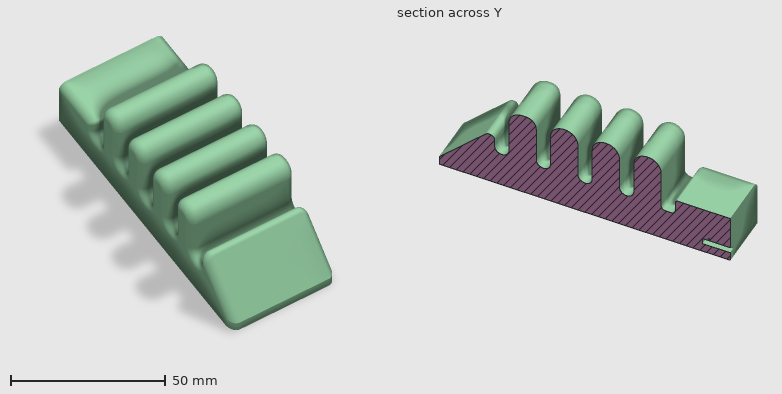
import cadquery as cq
import math

LENGTH = 105.0
WIDTH = 40.0
HEIGHT = 33.5

FIN_THICKNESS = 10.0
FIN_RADIUS = FIN_THICKNESS / 2
SLOT_WIDTH = 5.0
SLOT_RADIUS = SLOT_WIDTH / 2
FIN_PITCH = FIN_THICKNESS + SLOT_WIDTH
FIN_COUNT = 4
LAST_FIN_LEFT_RADIUS = 4.0

SLOT_DEPTH = 20.0
DEEP_SLOT_DEPTH = 20.5
DEEP_SLOT_FIN_INDEX = 1

SHELF_LENGTH = 20.0
SHELF_HEIGHT = 18.5
SHELF_EDGE_RADIUS = 1.0
FIRST_SLOT_DEPTH = 21.0
FIRST_SLOT_CORNER_RADIUS = 1.5

NOSE_HEIGHT = 3.5
RAMP_ANGLE = 45.0
CREST_RADIUS = 2.0

SIDE_RADIUS = 3.0

HOLE_RADIUS = 2.0
HOLE_FLOOR_Z = 3.5
HOLE_DEPTH = 10.0

FIRST_SLOT_FLOOR_Z = HEIGHT - FIRST_SLOT_DEPTH
FIRST_FIN_X = SHELF_LENGTH + SLOT_WIDTH
CREST_X = FIRST_FIN_X + FIN_COUNT * FIN_PITCH
CREST_Z = NOSE_HEIGHT + (LENGTH - CREST_X) * math.tan(math.radians(RAMP_ANGLE))


def add_arc(path, centre, radius, start_angle, end_angle):
    """Append an arc about centre from start_angle, at the current point, to end_angle (degrees)."""

    def on_circle(angle):
        a = math.radians(angle)
        return (centre[0] + radius * math.cos(a), centre[1] + radius * math.sin(a))

    middle = on_circle((start_angle + end_angle) / 2)
    return path.threePointArc(middle, on_circle(end_angle))


def add_fin(path, left_x, left_radius):
    """Append the left wall, round top and start of the right wall of one fin."""
    right_x = left_x + FIN_THICKNESS
    path = path.lineTo(left_x, HEIGHT - left_radius)
    path = add_arc(path, (left_x + left_radius, HEIGHT - left_radius), left_radius, 180, 90)
    if left_radius < FIN_RADIUS:
        path = path.lineTo(right_x - FIN_RADIUS, HEIGHT)
    return add_arc(path, (right_x - FIN_RADIUS, HEIGHT - FIN_RADIUS), FIN_RADIUS, 90, 0)


def add_round_slot(path, left_x, depth):
    """Append the left wall and half-round floor of one slot."""
    centre = (left_x + SLOT_RADIUS, HEIGHT - depth + SLOT_RADIUS)
    path = path.lineTo(left_x, centre[1])
    return add_arc(path, centre, SLOT_RADIUS, 180, 360)


def make_profile():
    """Side outline of the part, with the shelf edge and the crest left sharp."""
    corner = FIRST_SLOT_CORNER_RADIUS
    corner_z = FIRST_SLOT_FLOOR_Z + corner
    path = cq.Workplane("XZ", origin=(0, WIDTH / 2, 0)).moveTo(0, 0)
    path = path.lineTo(0, SHELF_HEIGHT).lineTo(SHELF_LENGTH, SHELF_HEIGHT)
    path = path.lineTo(SHELF_LENGTH, corner_z)
    path = add_arc(path, (SHELF_LENGTH + corner, corner_z), corner, 180, 270)
    path = path.lineTo(FIRST_FIN_X - corner, FIRST_SLOT_FLOOR_Z)
    path = add_arc(path, (FIRST_FIN_X - corner, corner_z), corner, 270, 360)
    for index in range(FIN_COUNT):
        fin_x = FIRST_FIN_X + index * FIN_PITCH
        is_last = index == FIN_COUNT - 1
        left_radius = LAST_FIN_LEFT_RADIUS if is_last else FIN_RADIUS
        path = add_fin(path, fin_x, left_radius)
        depth = DEEP_SLOT_DEPTH if index == DEEP_SLOT_FIN_INDEX else SLOT_DEPTH
        path = add_round_slot(path, fin_x + FIN_THICKNESS, depth)
    path = path.lineTo(CREST_X, CREST_Z).lineTo(LENGTH, NOSE_HEIGHT).lineTo(LENGTH, 0)
    return path.close()


def cross_edge(body, x, z):
    """Sharp edge running across the part through the given X, Z position."""
    return body.edges(cq.selectors.NearestToPointSelector((x, 0, z)))


def top_side_edges(body):
    """Edges of both side faces along the top outline, without the underside and upright end edges."""
    outline = body.faces("<Y or >Y").edges()
    return outline.filter(lambda e: e.Center().z > NOSE_HEIGHT and e.Center().x > SIDE_RADIUS)


def cut_nose_corners(body):
    """Carry the rounded ramp sides straight down the nose as elliptical corners."""
    along_x = SIDE_RADIUS / math.sin(math.radians(RAMP_ANGLE))
    corner_block = cq.Workplane("XY").box(along_x, SIDE_RADIUS, NOSE_HEIGHT, centered=False)
    ellipse = cq.Workplane("XY").ellipse(along_x, SIDE_RADIUS).extrude(NOSE_HEIGHT)
    waste = corner_block.cut(ellipse).translate((LENGTH - along_x, WIDTH / 2 - SIDE_RADIUS, 0))
    return body.cut(waste).cut(waste.mirror("XZ"))


def cut_end_hole(body):
    """Half-round blind hole, flat side down, in the left end."""
    hole = (
        cq.Workplane("YZ", origin=(0, 0, HOLE_FLOOR_Z))
        .moveTo(-HOLE_RADIUS, 0)
        .threePointArc((0, HOLE_RADIUS), (HOLE_RADIUS, 0))
        .close()
        .extrude(HOLE_DEPTH)
    )
    return body.cut(hole)


body = make_profile().extrude(WIDTH)
body = cross_edge(body, CREST_X, CREST_Z).fillet(CREST_RADIUS)
body = top_side_edges(body).fillet(SIDE_RADIUS)
body = cross_edge(body, SHELF_LENGTH, SHELF_HEIGHT).fillet(SHELF_EDGE_RADIUS)
body = cut_nose_corners(body)
result = cut_end_hole(body)